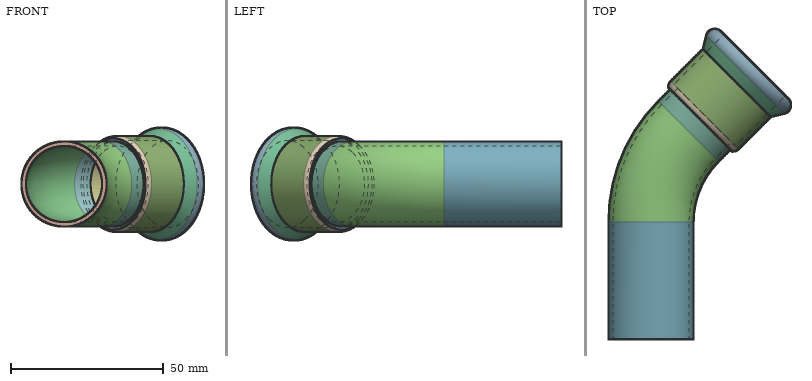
import cadquery as cq
import math

tube_radius = 14.0
wall = 1.5
straight_length = 38.5
bend_radius = 42.0
bend_angle = 45
bore_radius = tube_radius - wall

socket_radius = 15.8
socket_start = 5.5
shoulder_face_radius = 15.0
shoulder_length = 1.9
bore_end = socket_start + shoulder_length
socket_bore_radius = socket_radius - wall
cone_start = 22.4

rim_radius = 18.59
bead_round = 3.0
bead_center_radius = rim_radius - bead_round
mouth_station = 30.8
bead_station = mouth_station - bead_round

bend_radians = math.radians(bend_angle)
bend_end = (bend_radius * (1 - math.cos(bend_radians)), bend_radius * math.sin(bend_radians), 0)
socket_direction = (math.sin(bend_radians), math.cos(bend_radians), 0)


def bent_rod(radius):
    """Straight rod along +Y, the bend, and a straight run up to the socket bore."""
    straight = cq.Workplane("XZ").circle(radius).extrude(straight_length)
    bend = cq.Workplane("XZ").circle(radius).revolve(bend_angle, (bend_radius, 0), (bend_radius, -1))
    run = cq.Workplane(socket_plane()).circle(radius).extrude(bore_end)
    return straight.union(bend).union(run)


def socket_plane():
    """Plane across the bend end: normal along the socket, local X up."""
    return cq.Plane(origin=bend_end, xDir=(0, 0, 1), normal=socket_direction)


def socket_body():
    """Revolved outside of the socket: rounded shoulder, barrel, flare cone and rim bead."""
    run = bead_station - cone_start
    rise = bead_center_radius - socket_radius
    slope = math.atan2(rise, run) + math.asin(bead_round / math.hypot(run, rise))
    tangent = (
        bead_center_radius + bead_round * math.cos(slope),
        bead_station - bead_round * math.sin(slope),
    )
    middle_angle = (math.pi / 2 + slope) / 2
    bead_middle = (
        bead_center_radius + bead_round * math.sin(middle_angle),
        bead_station + bead_round * math.cos(middle_angle),
    )
    shoulder_drop = socket_radius - shoulder_face_radius
    shoulder_round = (shoulder_length**2 + shoulder_drop**2) / (2 * shoulder_drop)
    half_sweep = math.asin(shoulder_length / shoulder_round) / 2
    shoulder_middle = (
        socket_radius - shoulder_round * (1 - math.cos(half_sweep)),
        bore_end - shoulder_round * math.sin(half_sweep),
    )
    profile_normal = (-socket_direction[1], socket_direction[0], 0)
    plane = cq.Plane(origin=bend_end, xDir=(0, 0, 1), normal=profile_normal)
    return (
        cq.Workplane(plane)
        .moveTo(0, socket_start)
        .lineTo(shoulder_face_radius, socket_start)
        .threePointArc(shoulder_middle, (socket_radius, bore_end))
        .lineTo(socket_radius, cone_start)
        .lineTo(*tangent)
        .threePointArc(bead_middle, (bead_center_radius, mouth_station))
        .lineTo(0, mouth_station)
        .close()
        .revolve(360, (0, 0), (0, 1))
    )


socket_bore = (
    cq.Workplane(socket_plane())
    .workplane(offset=bore_end)
    .circle(socket_bore_radius)
    .extrude(mouth_station - bore_end)
)

result = bent_rod(tube_radius).union(socket_body()).cut(bent_rod(bore_radius)).cut(socket_bore)